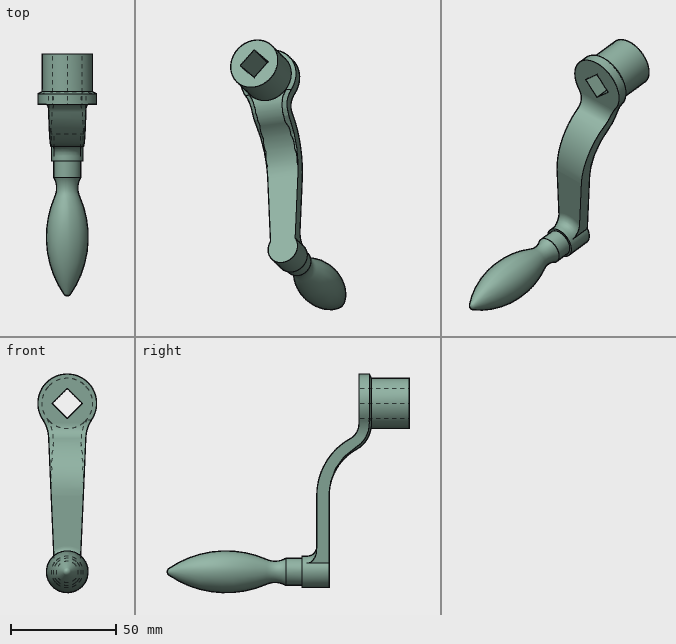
import math
import cadquery as cq


HUB_RADIUS = 12.0
HUB_LENGTH = 18.0
HEAD_RADIUS = 14.0
SQUARE_HOLE_SIDE = 10.0
BEVEL_DEPTH = 1.0
BEVEL_RUN = HEAD_RADIUS - HUB_RADIUS
BEVEL_STEPS = 4

CRANK_THROW = 80.0
ARM_THICKNESS = 6.0
ARM_OFFSET = 20.0
BEND_START_Z = -9.75
HEAD_BEND_RADIUS = 8.0
ARM_BEND_RADIUS = 31.0
ARM_TAPER = math.radians(2.5)
ARM_HALF_WIDTH_AT_HUB = 9.6
NECK_RADIUS = 16.0

BOSS_RADIUS = 7.5
BOSS_LENGTH = 13.0
BOSS_FILLET = 4.5

COLLAR_RADIUS = 6.5
WAIST_RADIUS = 5.1
WAIST_ARC_RADIUS = 10.0
BELLY_RADIUS = 10.0
BELLY_ARC_RADIUS = 48.0
TIP_RADIUS = 2.0
TOTAL_LENGTH = 115.0

head_back = HUB_LENGTH
head_front = head_back + ARM_THICKNESS
arm_back = head_back + ARM_OFFSET
arm_front = arm_back + ARM_THICKNESS
boss_end = arm_back + BOSS_LENGTH

bend_radius_sum = HEAD_BEND_RADIUS + ARM_BEND_RADIUS
bend_angle = math.acos(1 - ARM_OFFSET / bend_radius_sum)
bend_end_z = BEND_START_Z - bend_radius_sum * math.sin(bend_angle)
head_bend_center_depth = head_front + HEAD_BEND_RADIUS
arm_bend_center_depth = arm_front - ARM_BEND_RADIUS
head_bend_back_radius = HEAD_BEND_RADIUS + ARM_THICKNESS
arm_bend_back_radius = ARM_BEND_RADIUS - ARM_THICKNESS

neck_center_distance = HEAD_RADIUS + NECK_RADIUS
neck_angle = ARM_TAPER + math.acos(
    (NECK_RADIUS + ARM_HALF_WIDTH_AT_HUB * math.cos(ARM_TAPER)) / neck_center_distance
)
neck_center_x = neck_center_distance * math.cos(neck_angle)
neck_center_z = -neck_center_distance * math.sin(neck_angle)
neck_top_z = -HEAD_RADIUS * math.sin(neck_angle)
neck_bottom_z = neck_center_z + NECK_RADIUS * math.sin(ARM_TAPER)


def half_width(z):
    """Half width of the arm outline at height z, below the head circle."""
    if z > neck_bottom_z:
        return neck_center_x - math.sqrt(NECK_RADIUS**2 - (z - neck_center_z) ** 2)
    return ARM_HALF_WIDTH_AT_HUB + z * math.tan(ARM_TAPER)


def outline_slant(z):
    """Ratio of the horizontal run to the run square to the outline at height z."""
    if z > neck_bottom_z:
        return NECK_RADIUS / (neck_center_x - half_width(z))
    return 1 / math.cos(ARM_TAPER)


def cylinder(radius, start_depth, end_depth, z):
    """Cylinder parallel to the Y axis between two depths."""
    length = end_depth - start_depth
    return cq.Workplane("XZ", origin=(0, -start_depth, z)).circle(radius).extrude(length)


def revolve_profile(profile):
    """Turn a (depth, radius) profile about the local depth axis of its workplane."""
    return profile.revolve(360, (0, 0, 0), (1, 0, 0))


def side_workplane(z=0):
    """Mid plane of the part, with local x = depth and local y = height above z."""
    return cq.Workplane(cq.Plane(origin=(0, 0, z), xDir=(0, -1, 0), normal=(-1, 0, 0)))


def make_outline():
    """Width outline of the head and tapered arm, swept over the whole depth range of the arm."""
    neck_mid_z = (neck_top_z + neck_bottom_z) / 2
    neck_top_x = half_width(neck_top_z)
    neck_mid_x = half_width(neck_mid_z)
    neck_bottom_x = half_width(neck_bottom_z)
    end_x = half_width(-CRANK_THROW)
    return (
        cq.Workplane("XZ", origin=(0, -head_back, 0))
        .moveTo(-end_x, -CRANK_THROW)
        .lineTo(-neck_bottom_x, neck_bottom_z)
        .threePointArc((-neck_mid_x, neck_mid_z), (-neck_top_x, neck_top_z))
        .threePointArc((0, HEAD_RADIUS), (neck_top_x, neck_top_z))
        .threePointArc((neck_mid_x, neck_mid_z), (neck_bottom_x, neck_bottom_z))
        .lineTo(end_x, -CRANK_THROW)
        .close()
        .extrude(boss_end - head_back)
    )


def head_bend_point(radius, angle):
    """(depth, z) on the upper bend, measured from its upright start."""
    return (
        head_bend_center_depth - radius * math.cos(angle),
        BEND_START_Z - radius * math.sin(angle),
    )


def arm_bend_point(radius, angle):
    """(depth, z) on the lower bend; the angle falls to zero where the arm becomes upright."""
    return (
        arm_bend_center_depth + radius * math.cos(angle),
        bend_end_z + radius * math.sin(angle),
    )


def make_bent_slab():
    """Side profile of the head and arm, extruded across the full width of the head."""
    half = bend_angle / 2
    return (
        side_workplane()
        .moveTo(head_back, HEAD_RADIUS)
        .lineTo(head_front, HEAD_RADIUS)
        .lineTo(head_front, BEND_START_Z)
        .threePointArc(
            head_bend_point(HEAD_BEND_RADIUS, half), head_bend_point(HEAD_BEND_RADIUS, bend_angle)
        )
        .threePointArc(arm_bend_point(ARM_BEND_RADIUS, half), (arm_front, bend_end_z))
        .lineTo(arm_front, -CRANK_THROW)
        .lineTo(arm_back, -CRANK_THROW)
        .lineTo(arm_back, bend_end_z)
        .threePointArc(
            arm_bend_point(arm_bend_back_radius, half), arm_bend_point(arm_bend_back_radius, bend_angle)
        )
        .threePointArc(head_bend_point(head_bend_back_radius, half), (head_back, BEND_START_Z))
        .close()
        .extrude(HEAD_RADIUS, both=True)
    )


def make_boss_fillet():
    """Ring that rounds the boss into the front of the arm."""
    ring_outer = BOSS_RADIUS + BOSS_FILLET
    ring_end = arm_front + BOSS_FILLET
    mid_offset = BOSS_FILLET * (1 - math.sqrt(0.5))
    profile = (
        side_workplane(-CRANK_THROW)
        .moveTo(arm_front, 0)
        .lineTo(arm_front, ring_outer)
        .threePointArc((arm_front + mid_offset, BOSS_RADIUS + mid_offset), (ring_end, BOSS_RADIUS))
        .lineTo(ring_end, 0)
        .close()
    )
    return revolve_profile(profile)


def make_grip():
    """Collar, waist, belly and rounded tip turned as one profile."""
    tip_center = TOTAL_LENGTH - TIP_RADIUS
    belly_center_radius = BELLY_RADIUS - BELLY_ARC_RADIUS
    tip_angle = math.acos(-belly_center_radius / (BELLY_ARC_RADIUS - TIP_RADIUS))
    belly = tip_center - (BELLY_ARC_RADIUS - TIP_RADIUS) * math.sin(tip_angle)

    waist_center_radius = WAIST_RADIUS + WAIST_ARC_RADIUS
    arc_sum = BELLY_ARC_RADIUS + WAIST_ARC_RADIUS
    waist_angle = math.acos((waist_center_radius - belly_center_radius) / arc_sum)
    waist = belly - arc_sum * math.sin(waist_angle)
    collar_angle = math.acos((waist_center_radius - COLLAR_RADIUS) / WAIST_ARC_RADIUS)
    collar_end = waist - WAIST_ARC_RADIUS * math.sin(collar_angle)

    belly_start = (
        belly - BELLY_ARC_RADIUS * math.sin(waist_angle),
        belly_center_radius + BELLY_ARC_RADIUS * math.cos(waist_angle),
    )
    belly_end = (tip_center + TIP_RADIUS * math.sin(tip_angle), TIP_RADIUS * math.cos(tip_angle))
    tip_mid_angle = (tip_angle + math.pi / 2) / 2
    tip_mid = (
        tip_center + TIP_RADIUS * math.sin(tip_mid_angle),
        TIP_RADIUS * math.cos(tip_mid_angle),
    )
    profile = (
        side_workplane(-CRANK_THROW)
        .moveTo(arm_front, 0)
        .lineTo(arm_front, COLLAR_RADIUS)
        .lineTo(collar_end, COLLAR_RADIUS)
        .threePointArc((waist, WAIST_RADIUS), belly_start)
        .threePointArc((belly, BELLY_RADIUS), belly_end)
        .threePointArc(tip_mid, (TOTAL_LENGTH, 0))
        .close()
    )
    return revolve_profile(profile)


def make_head_bevel():
    """Conical ring that trims the back rim of the head, above the neck.

    Its triangle is twice the bevel size so that it reaches past the rim.
    """
    profile = (
        side_workplane()
        .moveTo(head_back, HUB_RADIUS)
        .lineTo(head_back + 2 * BEVEL_DEPTH, HEAD_RADIUS + BEVEL_RUN)
        .lineTo(head_back, HEAD_RADIUS + BEVEL_RUN)
        .close()
    )
    ring = revolve_profile(profile)
    size = 4 * HEAD_RADIUS
    upper_half_space = cq.Workplane("XY").box(size, size, size).translate((0, 0, neck_top_z + size / 2))
    return ring.intersect(upper_half_space)


def bevel_section(back_point, normal_angle, depth):
    """Triangle that trims the +X back edge of the arm to the given depth.

    The edge passes through back_point (depth, z) and the back face leans over by normal_angle.
    """
    back_depth, z = back_point
    edge_x = half_width(z)
    run = depth * BEVEL_RUN / BEVEL_DEPTH * outline_slant(z)
    overrun = BEVEL_DEPTH
    overrun_x = BEVEL_RUN

    def corner(x, inward):
        return cq.Vector(
            x, -(back_depth + inward * math.cos(normal_angle)), z + inward * math.sin(normal_angle)
        )

    corners = [
        corner(edge_x - run - overrun_x, -overrun),
        corner(edge_x + overrun_x, depth + overrun),
        corner(edge_x + overrun_x, -overrun),
    ]
    return cq.Wire.makePolygon(corners, close=True)


def make_arm_bevel():
    """Tapering wedge along the +X back edge of the arm, fading out where the arm becomes upright."""
    sections = [
        bevel_section((head_back, neck_top_z), 0, BEVEL_DEPTH),
        bevel_section((head_back, BEND_START_Z), 0, BEVEL_DEPTH),
    ]
    for step in range(1, BEVEL_STEPS + 1):
        angle = bend_angle * step / BEVEL_STEPS
        point = head_bend_point(head_bend_back_radius, angle)
        sections.append(bevel_section(point, angle, BEVEL_DEPTH))
    for step in range(1, BEVEL_STEPS + 1):
        remaining = 1 - step / BEVEL_STEPS
        angle = bend_angle * remaining
        point = arm_bend_point(arm_bend_back_radius, angle)
        sections.append(bevel_section(point, angle, BEVEL_DEPTH * remaining))
    return cq.Workplane(cq.Solid.makeLoft(sections, True))


outline = make_outline()
arm = outline.intersect(make_bent_slab())
arm = arm.cut(make_head_bevel())
arm_bevel = make_arm_bevel()
arm = arm.cut(arm_bevel).cut(arm_bevel.mirror("YZ"))

hub = cylinder(HUB_RADIUS, 0, head_front, 0)
boss = cylinder(BOSS_RADIUS, arm_back, boss_end, -CRANK_THROW)
boss_fillet = make_boss_fillet().intersect(outline)
square_hole = (
    cq.Workplane("XZ")
    .rect(SQUARE_HOLE_SIDE, SQUARE_HOLE_SIDE)
    .extrude(head_front)
    .rotate((0, 0, 0), (0, 1, 0), 45)
)

result = arm.union(hub).union(boss).union(boss_fillet).union(make_grip()).cut(square_hole)